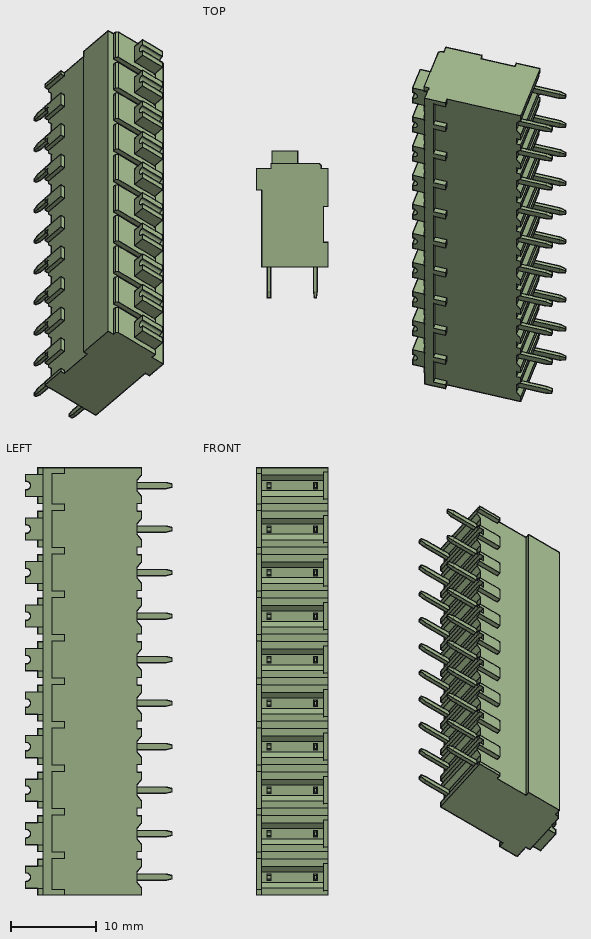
import cadquery as cq


POLE_COUNT = 10
POLE_PITCH = 5.08
TOTAL_HEIGHT = 49.92
POLE_HEIGHT = TOTAL_HEIGHT - (POLE_COUNT - 1) * POLE_PITCH
GAP_HEIGHT = POLE_PITCH - POLE_HEIGHT
POLE_CENTERS = [(i - (POLE_COUNT - 1) / 2) * POLE_PITCH for i in range(POLE_COUNT)]
GAP_CENTERS = [z + POLE_PITCH / 2 for z in POLE_CENTERS[:-1]]

TOTAL_WIDTH = 8.4
X_MAX = TOTAL_WIDTH / 2
X_MIN = -X_MAX
FLANGE_DEPTH = 0.63
X_WALL = X_MIN + FLANGE_DEPTH
SHOULDER_Y = 11.53
LEDGE_Y = 12.13
LEDGE_X_MIN = -2.5
LEDGE_X_MAX = 3.4
LEDGE_CHAMFER = 0.25
RECESS_DEPTH = 0.53
RECESS_Y_MIN = 2.93
RECESS_Y_MAX = 7.08
X_RECESS = X_MAX - RECESS_DEPTH

FLANGE_Y_MIN = 10.48
TAB_Y_MIN = 9.0
TAB_HEIGHT = 0.78
END_TAB_HEIGHT = 0.68

GROOVE_DEPTH = 0.53
GROOVE_FLOOR_HEIGHT = 1.2
GROOVE_MOUTH_HEIGHT = 2.5
WINDOW_HEIGHT = 3.16

TOTAL_DEPTH = 17.15
BUTTON_TIP_Y = 13.58
BUTTON_X_MIN = -2.38
BUTTON_WIDTH = 3.05
BUTTON_HEIGHT = 2.6
BUTTON_SLOT_RADIUS = 0.48
BUTTON_SLOT_DEPTH = 0.6

PIN_TIP_Y = BUTTON_TIP_Y - TOTAL_DEPTH
PIN_TAPER_LENGTH = 0.7
PIN_HEIGHT = 0.75
PIN_TIP_HEIGHT = 0.4
PIN_WIDTH = 0.44
NEAR_PIN_X = -2.72
FAR_PIN_X = 2.7
FAR_PIN_TIP_WIDTH = 0.25


def box(x_min, x_max, y_min, y_max, z_center, height):
    """Axis-aligned block centred on z_center."""
    return (
        cq.Workplane("XY", origin=(0, 0, z_center - height / 2))
        .moveTo(x_min, y_min)
        .lineTo(x_max, y_min)
        .lineTo(x_max, y_max)
        .lineTo(x_min, y_max)
        .close()
        .extrude(height)
    )


def make_housing():
    """Full-height extrusion of the housing cross-section, without the flange."""
    outline = [
        (X_WALL, 0),
        (X_MAX, 0),
        (X_MAX, RECESS_Y_MIN),
        (X_RECESS, RECESS_Y_MIN),
        (X_RECESS, RECESS_Y_MAX),
        (X_MAX, RECESS_Y_MAX),
        (X_MAX, SHOULDER_Y),
        (LEDGE_X_MAX, SHOULDER_Y),
        (LEDGE_X_MAX, LEDGE_Y - LEDGE_CHAMFER),
        (LEDGE_X_MAX - LEDGE_CHAMFER, LEDGE_Y),
        (LEDGE_X_MIN, LEDGE_Y),
        (LEDGE_X_MIN, SHOULDER_Y),
        (X_WALL, SHOULDER_Y),
    ]
    bottom = cq.Workplane("XY", origin=(0, 0, -TOTAL_HEIGHT / 2))
    return bottom.polyline(outline).close().extrude(TOTAL_HEIGHT)


def repeat(make_feature, centers):
    """Group of separate copies of a feature, one at each Z centre."""
    return cq.Workplane(cq.Compound.makeCompound([make_feature(z).val() for z in centers]))


def gap_tab(z):
    """Flange tab between two poles."""
    return box(X_MIN, X_WALL, TAB_Y_MIN, FLANGE_Y_MIN, z, TAB_HEIGHT)


def end_tab(z):
    """Flange tab at an end of the block."""
    return box(X_MIN, X_WALL, TAB_Y_MIN, FLANGE_Y_MIN, z, END_TAB_HEIGHT)


def add_flange(body):
    """Continuous strip on the -X wall, with a tab at each gap and at both ends."""
    end_tab_z = (TOTAL_HEIGHT - END_TAB_HEIGHT) / 2
    body = body.union(box(X_MIN, X_WALL, FLANGE_Y_MIN, SHOULDER_Y, 0, TOTAL_HEIGHT))
    body = body.union(repeat(gap_tab, GAP_CENTERS))
    return body.union(repeat(end_tab, (-end_tab_z, end_tab_z)))


def seat_gap(z):
    """Channel separating two poles at the seating face."""
    return box(X_MIN, X_MAX, 0, GROOVE_DEPTH, z, GAP_HEIGHT)


def ledge_gap(z):
    """Channel separating two poles at the ledge."""
    return box(X_MIN, X_MAX, SHOULDER_Y, LEDGE_Y, z, GAP_HEIGHT)


def pin_groove(z):
    """Trapezoidal groove across the seating face, widening towards its mouth."""
    mouth = GROOVE_MOUTH_HEIGHT / 2
    floor = GROOVE_FLOOR_HEIGHT / 2
    profile = [(0, z - mouth), (GROOVE_DEPTH, z - floor), (GROOVE_DEPTH, z + floor), (0, z + mouth)]
    return cq.Workplane("YZ", origin=(X_MIN, 0, 0)).polyline(profile).close().extrude(TOTAL_WIDTH)


def window(z):
    """Opening from the seating face into the recess of the +X wall."""
    return box(X_RECESS, X_MAX, 0, RECESS_Y_MIN, z, WINDOW_HEIGHT)


def button_clearance(z):
    """Slot in the ledge that exposes the -X side of a button."""
    return box(LEDGE_X_MIN, BUTTON_X_MIN, SHOULDER_Y, LEDGE_Y, z, BUTTON_HEIGHT)


def make_button(z):
    """Actuator button with a round-bottomed slot across its tip."""
    button = box(BUTTON_X_MIN, BUTTON_X_MIN + BUTTON_WIDTH, SHOULDER_Y, BUTTON_TIP_Y, z, BUTTON_HEIGHT)
    slot_bottom_y = BUTTON_TIP_Y - BUTTON_SLOT_DEPTH
    slot_arc_y = slot_bottom_y + BUTTON_SLOT_RADIUS
    slot = (
        cq.Workplane("YZ", origin=(BUTTON_X_MIN, 0, 0))
        .moveTo(BUTTON_TIP_Y, z - BUTTON_SLOT_RADIUS)
        .lineTo(slot_arc_y, z - BUTTON_SLOT_RADIUS)
        .threePointArc((slot_bottom_y, z), (slot_arc_y, z + BUTTON_SLOT_RADIUS))
        .lineTo(BUTTON_TIP_Y, z + BUTTON_SLOT_RADIUS)
        .close()
        .extrude(BUTTON_WIDTH)
    )
    return button.cut(slot)


def make_pin(x, z, width, tip_width):
    """Rectangular solder pin from the groove floor, tapering to its tip."""
    taper_start_y = PIN_TIP_Y + PIN_TAPER_LENGTH
    shank = box(x - width / 2, x + width / 2, taper_start_y, GROOVE_DEPTH, z, PIN_HEIGHT)
    tip = (
        cq.Workplane("XZ", origin=(x, taper_start_y, z))
        .rect(width, PIN_HEIGHT)
        .workplane(offset=PIN_TAPER_LENGTH)
        .rect(tip_width, PIN_TIP_HEIGHT)
        .loft(ruled=True)
    )
    return shank.union(tip)


def near_pin(z):
    """Pin next to the -X wall, tapering in height only."""
    return make_pin(NEAR_PIN_X, z, PIN_WIDTH, PIN_WIDTH)


def far_pin(z):
    """Pin next to the +X wall, tapering in height and width."""
    return make_pin(FAR_PIN_X, z, PIN_WIDTH, FAR_PIN_TIP_WIDTH)


result = add_flange(make_housing())
for cutter in (seat_gap, ledge_gap):
    result = result.cut(repeat(cutter, GAP_CENTERS))
for cutter in (pin_groove, window, button_clearance):
    result = result.cut(repeat(cutter, POLE_CENTERS))
for addition in (make_button, near_pin, far_pin):
    result = result.union(repeat(addition, POLE_CENTERS))
result = result.solids()